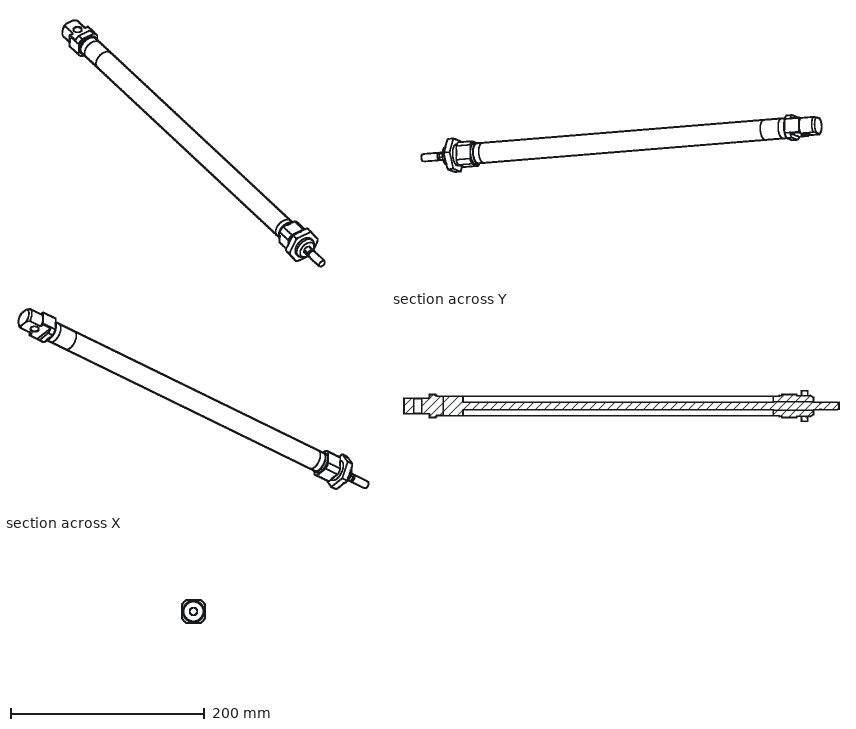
import cadquery as cq
import math

total_length = 449.5

cap_diameter = 28.0
cap_across_flats = 24.0
collar_diameter = 22.0

tongue_thickness = 16.0
tongue_tip_diameter = 18.0
tongue_tip_length = 2.2
cap_start_x = 16.5
tongue_end_x = 26.5
end_cap_body_end_x = 33.0
end_collar_length = 1.5
end_spigot_length = 6.7
pivot_hole_diameter = 8.0
pivot_hole_chamfer = 0.5
pivot_hole_x = 14.5

barrel_diameter = 21.0
barrel_bore = 20.2
barrel_start_x = end_cap_body_end_x + end_collar_length
barrel_end_x = 387.5

bearing_collar_length = 2.5
bearing_body_end_x = 406.0
bearing_spigot_length = 6.5
thread_end_x = 420.0
nose_tip_diameter = 18.0
nose_end_x = 423.0

nut_across_flats = 32.0
nut_start_x = 410.5
nut_end_x = 417.0
nut_chamfer_length = 1.0
nut_face_diameter = 35.0

piston_start_x = barrel_start_x + end_spigot_length
piston_length = 20.2
rod_diameter = 8.0
rod_start_x = piston_start_x + piston_length
wrench_flats_start_x = 425.2
wrench_flats_end_x = 429.3
wrench_across_flats = 7.0
groove_end_x = 431.0
groove_diameter = 7.0
rod_tip_diameter = 7.0
rod_tip_length = 2.5


def cylinder(diameter, start_x, end_x):
    return cq.Workplane("YZ").workplane(offset=start_x).circle(diameter / 2).extrude(end_x - start_x)


def cone(start_diameter, end_diameter, start_x, end_x):
    profile = [
        (start_x, 0),
        (start_x, start_diameter / 2),
        (end_x, end_diameter / 2),
        (end_x, 0),
    ]
    return cq.Workplane("XY").polyline(profile).close().revolve(360, (0, 0, 0), (1, 0, 0))


def bar(size_y, size_z, start_x, end_x):
    return cq.Workplane("YZ").workplane(offset=start_x).rect(size_y, size_z).extrude(end_x - start_x)


def squared_cap_body(start_x, end_x):
    return cylinder(cap_diameter, start_x, end_x).intersect(
        bar(cap_across_flats, cap_across_flats, start_x, end_x)
    )


def make_end_cap():
    tip = cone(tongue_tip_diameter, collar_diameter, 0, tongue_tip_length)
    shank = cylinder(collar_diameter, tongue_tip_length, cap_start_x)
    body = squared_cap_body(cap_start_x, end_cap_body_end_x)
    collar = cylinder(collar_diameter, end_cap_body_end_x, barrel_start_x)
    spigot = cylinder(barrel_bore, barrel_start_x, barrel_start_x + end_spigot_length)
    cap = tip.union(shank).union(body).union(collar).union(spigot)
    tongue_zone = bar(cap_diameter, cap_diameter, 0, tongue_end_x)
    tongue = bar(cap_diameter, tongue_thickness, 0, tongue_end_x)
    cap = cap.cut(tongue_zone.cut(tongue))
    pivot_hole = (
        cq.Workplane("XY").center(pivot_hole_x, 0).circle(pivot_hole_diameter / 2)
        .extrude(tongue_thickness, both=True)
    )
    cap = cap.cut(pivot_hole)
    hole_rims = cap.edges(cq.selectors.RadiusNthSelector(0))
    return hole_rims.chamfer(pivot_hole_chamfer)


def make_barrel():
    bore = cylinder(barrel_bore, barrel_start_x, barrel_end_x)
    return cylinder(barrel_diameter, barrel_start_x, barrel_end_x).cut(bore)


def make_bearing_cap():
    body_start_x = barrel_end_x + bearing_collar_length
    spigot = cylinder(barrel_bore, barrel_end_x - bearing_spigot_length, barrel_end_x)
    body = squared_cap_body(body_start_x, bearing_body_end_x)
    thread = cylinder(collar_diameter, barrel_end_x, thread_end_x)
    nose = cone(collar_diameter, nose_tip_diameter, thread_end_x, nose_end_x)
    cap = spigot.union(body).union(thread).union(nose)
    return cap.cut(cylinder(rod_diameter, rod_start_x, nose_end_x))


def make_nut():
    corner_diameter = nut_across_flats / math.cos(math.pi / 6)
    nut = (
        cq.Workplane("YZ").workplane(offset=nut_start_x)
        .polygon(6, corner_diameter).extrude(nut_end_x - nut_start_x)
    )
    chamfer_start_x = nut_end_x - nut_chamfer_length
    envelope = cylinder(corner_diameter, nut_start_x, chamfer_start_x)
    envelope = envelope.union(cone(corner_diameter, nut_face_diameter, chamfer_start_x, nut_end_x))
    return nut.intersect(envelope).cut(cylinder(collar_diameter, nut_start_x, nut_end_x))


def make_piston_rod():
    tip_start_x = total_length - rod_tip_length
    piston = cylinder(barrel_bore, piston_start_x, rod_start_x)
    shaft = cylinder(rod_diameter, rod_start_x, wrench_flats_end_x)
    wrench_zone = bar(rod_diameter, rod_diameter, wrench_flats_start_x, wrench_flats_end_x)
    between_flats = bar(wrench_across_flats, rod_diameter, wrench_flats_start_x, wrench_flats_end_x)
    shaft = shaft.cut(wrench_zone.cut(between_flats))
    groove = cylinder(groove_diameter, wrench_flats_end_x, groove_end_x)
    thread = cylinder(rod_diameter, groove_end_x, tip_start_x)
    tip = cone(rod_diameter, rod_tip_diameter, tip_start_x, total_length)
    return piston.union(shaft).union(groove).union(thread).union(tip)


end_cap = make_end_cap()
barrel = make_barrel()
bearing_cap = make_bearing_cap()
nut = make_nut()
piston_rod = make_piston_rod()

result = cq.Compound.makeCompound(
    [end_cap.val(), barrel.val(), bearing_cap.val(), nut.val(), piston_rod.val()]
)